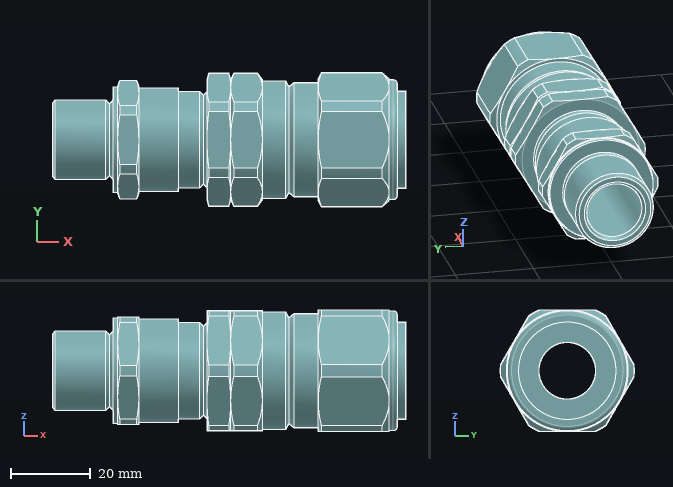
import cadquery as cq
import math


total_length = 88.3

bore_radius = 7.1
bore_chamfer = 0.8
spigot_radius = 10.0
spigot_lead_length = 0.6
spigot_lead_depth = 0.8
spigot_end = 13.25

groove_depth = 1.0

collar_start = 15.1
collar_radius = 13.25
entry_hex_start = 16.25
entry_hex_end = 21.55
entry_hex_flats = 26.9
entry_hex_corners = 29.7
entry_hex_chamfer = 0.5

barrel_radius = 13.0
barrel_step = 31.4
barrel_tail_radius = 12.1
barrel_tail_end = 36.7

middle_hex_flats = 30.1
middle_hex_corners = 33.3
lock_hex_start = 38.6
middle_hex_joint = 44.5
sleeve_hex_end = 52.45
lock_hex_chamfer = 0.4
sleeve_hex_front_chamfer = 0.8
sleeve_hex_back_chamfer = 1.2

sleeve_radius = 14.75
sleeve_end = 58.3
sleeve_groove_width = 0.8
sleeve_groove_radius = 13.25
neck_radius = 14.3
neck_start = 60.3

cap_hex_start = 66.4
cap_hex_end = 84.15
cap_hex_flats = 30.5
cap_hex_corners = 33.55
cap_hex_front_chamfer = 0.8
cap_hex_back_chamfer = 1.8
ring_radius = 15.0
ring_end = 86.2
ring_rounding = 1.1
outlet_radius = 12.2


def revolve_about_x(profile):
    """Close an outline in the XY plane and turn it about the X axis."""
    return profile.close().revolve(360, (0, 0, 0), (1, 0, 0))


def turned_body():
    """Every round stretch of the outside, as a single solid of revolution."""
    spigot_groove = spigot_end + groove_depth
    tail_groove = barrel_tail_end + groove_depth
    sleeve_groove = sleeve_end + sleeve_groove_width
    rounding_middle = ring_rounding * math.sin(math.pi / 4)
    rounding_start = ring_end - ring_rounding
    rounding_end_radius = ring_radius - ring_rounding

    profile = (
        cq.Workplane("XY")
        .moveTo(0, 0)
        .lineTo(0, spigot_radius - spigot_lead_depth)
        .lineTo(spigot_lead_length, spigot_radius)
        .lineTo(spigot_end, spigot_radius)
        .lineTo(spigot_groove, spigot_radius - groove_depth)
        .lineTo(collar_start, spigot_radius)
        .lineTo(collar_start, collar_radius)
        .lineTo(entry_hex_start, collar_radius)
        .lineTo(entry_hex_start, barrel_radius)
        .lineTo(barrel_step, barrel_radius)
        .lineTo(barrel_step, barrel_tail_radius)
        .lineTo(barrel_tail_end, barrel_tail_radius)
        .lineTo(tail_groove, barrel_tail_radius - groove_depth)
        .lineTo(lock_hex_start, barrel_tail_radius)
        .lineTo(lock_hex_start, sleeve_radius)
        .lineTo(sleeve_end, sleeve_radius)
        .lineTo(sleeve_groove, sleeve_groove_radius)
        .lineTo(neck_start, neck_radius)
        .lineTo(cap_hex_start, neck_radius)
        .lineTo(cap_hex_start, ring_radius)
        .lineTo(rounding_start, ring_radius)
        .threePointArc(
            (rounding_start + rounding_middle, rounding_end_radius + rounding_middle),
            (ring_end, rounding_end_radius),
        )
        .lineTo(ring_end, outlet_radius)
        .lineTo(total_length, outlet_radius)
        .lineTo(total_length, 0)
    )
    return revolve_about_x(profile)


def hexagon(start, end, flats, corners, front_chamfer, back_chamfer):
    """Hexagon with flats facing +Z and -Z and corners turned down to a cylinder.

    Conical chamfers bring both ends down to the circle touching the flats.
    """
    face_radius = flats / 2
    corner_radius = corners / 2
    sharp_corner_diameter = flats / math.cos(math.pi / 6)
    prism = (
        cq.Workplane("YZ", origin=(start, 0, 0))
        .polygon(6, sharp_corner_diameter)
        .extrude(end - start)
    )
    envelope = revolve_about_x(
        cq.Workplane("XY")
        .moveTo(start, 0)
        .lineTo(start, face_radius)
        .lineTo(start + front_chamfer, corner_radius)
        .lineTo(end - back_chamfer, corner_radius)
        .lineTo(end, face_radius)
        .lineTo(end, 0)
    )
    return prism.intersect(envelope)


def bore():
    """Through bore with a chamfered inlet edge."""
    return revolve_about_x(
        cq.Workplane("XY")
        .moveTo(0, 0)
        .lineTo(0, bore_radius + bore_chamfer)
        .lineTo(bore_chamfer, bore_radius)
        .lineTo(total_length, bore_radius)
        .lineTo(total_length, 0)
    )


entry_hex = hexagon(
    entry_hex_start, entry_hex_end, entry_hex_flats, entry_hex_corners,
    entry_hex_chamfer, entry_hex_chamfer,
)
lock_hex = hexagon(
    lock_hex_start, middle_hex_joint, middle_hex_flats, middle_hex_corners,
    lock_hex_chamfer, lock_hex_chamfer,
)
sleeve_hex = hexagon(
    middle_hex_joint, sleeve_hex_end, middle_hex_flats, middle_hex_corners,
    sleeve_hex_front_chamfer, sleeve_hex_back_chamfer,
)
cap_hex = hexagon(
    cap_hex_start, cap_hex_end, cap_hex_flats, cap_hex_corners,
    cap_hex_front_chamfer, cap_hex_back_chamfer,
)

result = turned_body()
for hex_section in (entry_hex, lock_hex, sleeve_hex, cap_hex):
    result = result.union(hex_section)
result = result.cut(bore())